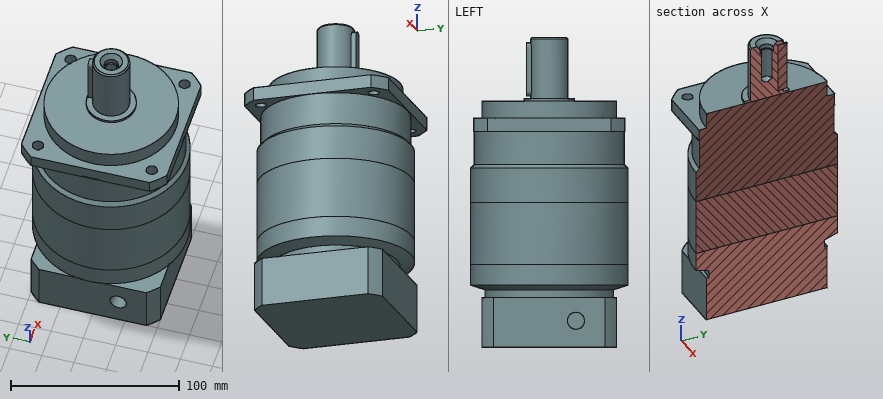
import cadquery as cq
import math


INPUT_BLOCK_TOP = 29.7
REAR_CONE_BOTTOM = 34.3
REAR_CONE_TOP = 37.0
RING_BOTTOM = 49.5
RING_TOP = 86.2
FRONT_CONE_BOTTOM = 106.6
FRONT_CONE_TOP = 108.9
FLANGE_BOTTOM = 128.5
FLANGE_TOP = 136.3
PILOT_TOP = 146.5
COLLAR_TOP = 148.0
SHAFT_TOP = 184.5

BODY_DIAMETER = 94.0
BODY_RADIUS = BODY_DIAMETER / 2
FRONT_NECK_RADIUS = 44.6
PILOT_RADIUS = 40.0
REAR_NECK_RADIUS = 38.4

INPUT_BLOCK_SIDE = 80.0
INPUT_CORNER_RADIUS = 52.0
ACCESS_HOLE_Y = -15.9
ACCESS_HOLE_Z = 15.9
ACCESS_HOLE_DIAMETER = 10.1
ACCESS_HOLE_DEPTH = 18.5

FLANGE_SIDE = 90.0
FLANGE_CORNER_RADIUS = 58.1
BOLT_SPACING = 70.5
BOLT_HOLE_DIAMETER = 6.6

SHAFT_RADIUS = 11.0
SHAFT_CHAMFER = 1.0
COLLAR_RADIUS = 15.0

COUNTERSINK_RADIUS = 6.6
COUNTERSINK_DEPTH = 3.0
RELIEF_RADIUS = 4.2
RELIEF_DEPTH = 5.7
CORE_RADIUS = 3.3
CORE_DEPTH = 25.0
DRILL_POINT_ANGLE = 118.0

KEY_WIDTH = 6.0
KEY_HEIGHT = KEY_WIDTH
KEY_OUTER_Y = 13.7
KEY_BOTTOM = 149.5
KEY_TOP = 181.4


def turned(profile):
    """Revolve a closed (radius, height) profile about the Z axis."""
    return cq.Workplane("XZ").polyline(profile).close().revolve(360, (0, 0, 0), (0, 1, 0))


def square_plate(side, corner_radius, bottom, top):
    """Square plate centered on the axis, its corners cut to a circle about the axis."""
    base = cq.Workplane("XY", origin=(0, 0, bottom))
    square = base.rect(side, side).extrude(top - bottom)
    disc = base.circle(corner_radius).extrude(top - bottom)
    return square.intersect(disc)


def make_rear_housing():
    """Square input block, short neck and the coned rear section that closes the ring gear."""
    block = square_plate(INPUT_BLOCK_SIDE, INPUT_CORNER_RADIUS, 0, INPUT_BLOCK_TOP)
    rear_section = turned([
        (0, INPUT_BLOCK_TOP),
        (REAR_NECK_RADIUS, INPUT_BLOCK_TOP),
        (REAR_NECK_RADIUS, REAR_CONE_BOTTOM),
        (BODY_RADIUS, REAR_CONE_TOP),
        (BODY_RADIUS, RING_BOTTOM),
        (0, RING_BOTTOM),
    ])
    access_hole = (
        cq.Workplane("YZ", origin=(-INPUT_BLOCK_SIDE / 2, ACCESS_HOLE_Y, ACCESS_HOLE_Z))
        .circle(ACCESS_HOLE_DIAMETER / 2)
        .extrude(ACCESS_HOLE_DEPTH)
    )
    return block.union(rear_section).cut(access_hole)


def make_ring_gear():
    """Plain cylindrical gear ring between the rear and front housings."""
    height = RING_TOP - RING_BOTTOM
    return cq.Workplane("XY", origin=(0, 0, RING_BOTTOM)).circle(BODY_RADIUS).extrude(height)


def make_front_housing():
    """Stepped barrel with the square mounting flange and the round pilot."""
    barrel = turned([
        (0, RING_TOP),
        (BODY_RADIUS, RING_TOP),
        (BODY_RADIUS, FRONT_CONE_BOTTOM),
        (FRONT_NECK_RADIUS, FRONT_CONE_TOP),
        (FRONT_NECK_RADIUS, FLANGE_BOTTOM),
        (PILOT_RADIUS, FLANGE_BOTTOM),
        (PILOT_RADIUS, PILOT_TOP),
        (0, PILOT_TOP),
    ])
    flange = (
        square_plate(FLANGE_SIDE, FLANGE_CORNER_RADIUS, FLANGE_BOTTOM, FLANGE_TOP)
        .faces(">Z")
        .workplane()
        .rect(BOLT_SPACING, BOLT_SPACING, forConstruction=True)
        .vertices()
        .hole(BOLT_HOLE_DIAMETER)
    )
    return barrel.union(flange)


def make_key():
    """Parallel key with round ends, partly sunk into the shaft."""
    key_length = KEY_TOP - KEY_BOTTOM
    key_middle = (KEY_TOP + KEY_BOTTOM) / 2
    return (
        cq.Workplane("XZ", origin=(0, KEY_OUTER_Y, key_middle))
        .slot2D(key_length, KEY_WIDTH, 90)
        .extrude(KEY_HEIGHT)
    )


def make_output_shaft(key):
    """Shaft and collar seated on the pilot, with a center hole and a seat for the key."""
    point_depth = CORE_RADIUS / math.tan(math.radians(DRILL_POINT_ANGLE / 2))
    shaft = turned([
        (0, PILOT_TOP),
        (COLLAR_RADIUS, PILOT_TOP),
        (COLLAR_RADIUS, COLLAR_TOP),
        (SHAFT_RADIUS, COLLAR_TOP),
        (SHAFT_RADIUS, SHAFT_TOP - SHAFT_CHAMFER),
        (SHAFT_RADIUS - SHAFT_CHAMFER, SHAFT_TOP),
        (COUNTERSINK_RADIUS, SHAFT_TOP),
        (RELIEF_RADIUS, SHAFT_TOP - COUNTERSINK_DEPTH),
        (RELIEF_RADIUS, SHAFT_TOP - RELIEF_DEPTH),
        (CORE_RADIUS, SHAFT_TOP - RELIEF_DEPTH),
        (CORE_RADIUS, SHAFT_TOP - CORE_DEPTH),
        (0, SHAFT_TOP - CORE_DEPTH - point_depth),
    ])
    return shaft.cut(key)


rear_housing = make_rear_housing()
ring_gear = make_ring_gear()
front_housing = make_front_housing()
key = make_key()
output_shaft = make_output_shaft(key)

result = cq.Compound.makeCompound([
    rear_housing.val(),
    ring_gear.val(),
    front_housing.val(),
    output_shaft.val(),
    key.val(),
])